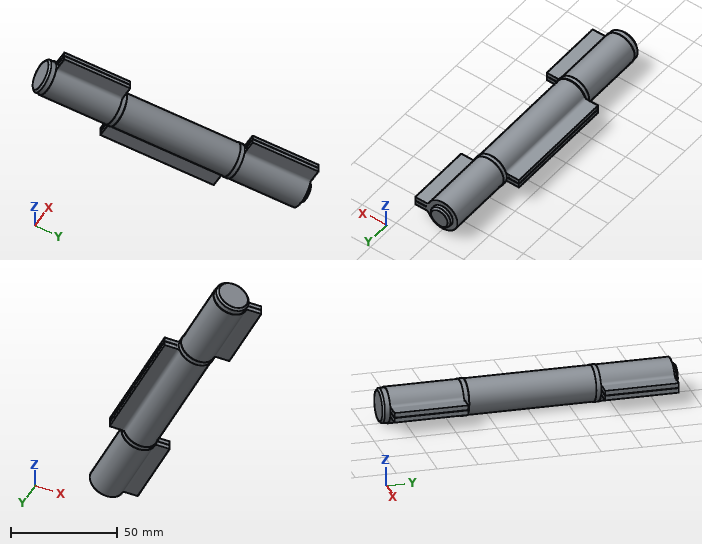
import cadquery as cq
import math


TOTAL_LENGTH = 145.0
HEAD_LENGTH = 3.6
END_KNUCKLE_LENGTH = 36.0
MIDDLE_KNUCKLE_LENGTH = 61.9
WASHER_THICKNESS = 2.3
AXIAL_PLAY = 0.3

BARREL_DIAMETER = 17.5
WASHER_DIAMETER = 18.0
BORE_DIAMETER = 12.0
PIN_DIAMETER = 11.7
HEAD_DIAMETER = 17.0
PIN_CHAMFER = 1.0
LEAF_SPAN = 32.3
LEAF_REACH = LEAF_SPAN / 2
LEAF_THICKNESS = 5.0
SLIT_WIDTH = 0.3
ROOT_RADIUS = 2.0

PIN_START = -TOTAL_LENGTH / 2
HEAD_KNUCKLE_START = PIN_START + HEAD_LENGTH
HEAD_WASHER_START = HEAD_KNUCKLE_START + END_KNUCKLE_LENGTH
MIDDLE_KNUCKLE_START = HEAD_WASHER_START + WASHER_THICKNESS + AXIAL_PLAY
TIP_WASHER_START = MIDDLE_KNUCKLE_START + MIDDLE_KNUCKLE_LENGTH
TIP_KNUCKLE_START = TIP_WASHER_START + WASHER_THICKNESS


def section_at(y_start):
    """Sketch plane across the pin axis at y_start: local x is +X, extrusion runs to +Y."""
    return cq.Workplane(cq.Plane(origin=(0, y_start, 0), xDir=(1, 0, 0), normal=(0, 1, 0)))


def make_pin():
    """Round pin with a wider head; both ends are chamfered."""
    head = section_at(PIN_START).circle(HEAD_DIAMETER / 2).extrude(HEAD_LENGTH)
    shank = section_at(PIN_START).circle(PIN_DIAMETER / 2).extrude(TOTAL_LENGTH)
    return head.union(shank).faces("<Y or >Y").chamfer(PIN_CHAMFER)


def make_washer(y_start):
    """Plain ring, slightly wider than the knuckle barrels."""
    ring = section_at(y_start).circle(WASHER_DIAMETER / 2).circle(BORE_DIAMETER / 2)
    return ring.extrude(WASHER_THICKNESS)


def make_knuckle(y_start, length, side):
    """Barrel with a two-layer leaf; side is +1 for a leaf towards +X, -1 towards -X."""
    barrel_radius = BARREL_DIAMETER / 2
    leaf_half = LEAF_THICKNESS / 2

    blend_z = leaf_half + ROOT_RADIUS
    blend_x = math.sqrt((barrel_radius + ROOT_RADIUS) ** 2 - blend_z ** 2)
    blend_angle = math.atan2(blend_z, blend_x)
    barrel_touch_x = barrel_radius * math.cos(blend_angle)
    barrel_touch_z = barrel_radius * math.sin(blend_angle)

    middle_angle = (blend_angle + math.pi / 2) / 2
    middle_x = blend_x - ROOT_RADIUS * math.cos(middle_angle)
    middle_z = blend_z - ROOT_RADIUS * math.sin(middle_angle)

    outline = (
        section_at(y_start)
        .moveTo(side * LEAF_REACH, -leaf_half)
        .lineTo(side * LEAF_REACH, leaf_half)
        .lineTo(side * blend_x, leaf_half)
        .threePointArc((side * middle_x, middle_z), (side * barrel_touch_x, barrel_touch_z))
        .threePointArc((-side * barrel_radius, 0), (side * barrel_touch_x, -barrel_touch_z))
        .threePointArc((side * middle_x, -middle_z), (side * blend_x, -leaf_half))
        .close()
    )
    bore = section_at(y_start).circle(BORE_DIAMETER / 2).extrude(length)

    slit_depth = LEAF_REACH - blend_x
    slit = (
        section_at(y_start)
        .center(side * (LEAF_REACH - slit_depth / 2), 0)
        .rect(slit_depth, SLIT_WIDTH)
        .extrude(length)
    )
    return outline.extrude(length).cut(bore).cut(slit)


pin = make_pin()
washers = [make_washer(y_start) for y_start in (HEAD_WASHER_START, TIP_WASHER_START)]
end_knuckles = [
    make_knuckle(y_start, END_KNUCKLE_LENGTH, 1)
    for y_start in (HEAD_KNUCKLE_START, TIP_KNUCKLE_START)
]
middle_knuckle = make_knuckle(MIDDLE_KNUCKLE_START, MIDDLE_KNUCKLE_LENGTH, -1)

result = cq.Compound.makeCompound([
    pin.val(),
    *[washer.val() for washer in washers],
    *[knuckle.val() for knuckle in end_knuckles],
    middle_knuckle.val(),
])